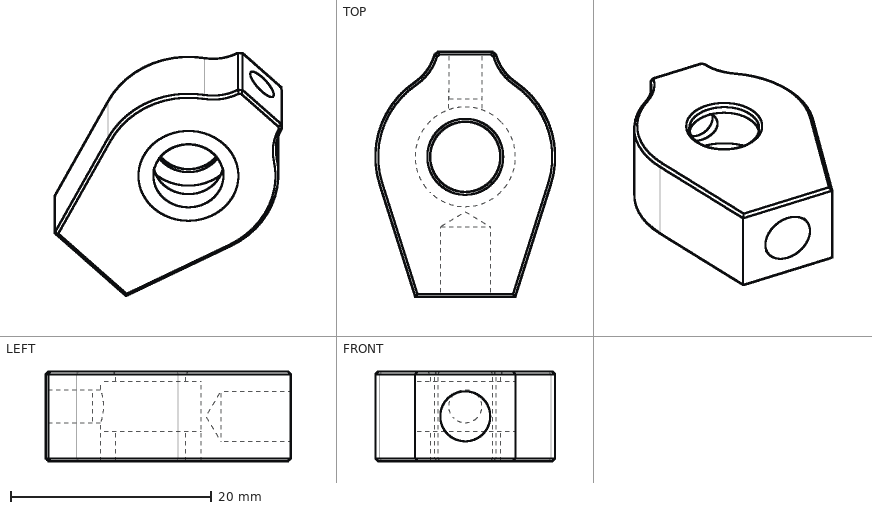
import cadquery as cq
import math

thickness = 9.0
head_radius = 9.0
neck_radius = 5.0
nose_half_width = 3.0
nose_y = 10.5
tail_half_width = 5.0
tail_y = -14.0
edge_chamfer = 0.3

eye_radius = 3.5
cavity_radius = 5.0
lip_thickness = 1.0
cavity_top_z = thickness - lip_thickness

ring_height = 3.0

bore_radius = 2.5
bore_depth = 7.0
drill_point_angle = 118.0

screw_radius = 1.65
screw_z = (ring_height + cavity_top_z) / 2
screw_tip_y = 5.8


def mirrored(point):
    return (-point[0], point[1])


def polar(radius, angle):
    return (radius * math.cos(angle), radius * math.sin(angle))


def make_outline():
    """Round head with straight tangent flanks to the tail and concave neck arcs to the nose."""
    tail = (tail_half_width, tail_y)
    nose = (nose_half_width, nose_y)
    head_side = (head_radius, 0)

    tail_direction = math.atan2(tail_y, tail_half_width)
    flank_angle = tail_direction + math.acos(head_radius / math.hypot(*tail))
    flank_end = polar(head_radius, flank_angle)

    nose_distance = math.hypot(*nose)
    center_distance = head_radius + neck_radius
    cosine = (nose_distance**2 + center_distance**2 - neck_radius**2) / (2 * nose_distance * center_distance)
    neck_angle = math.atan2(nose_y, nose_half_width) - math.acos(cosine)
    neck_start = polar(head_radius, neck_angle)
    neck_center = polar(center_distance, neck_angle)

    start_direction = neck_angle + math.pi
    end_direction = math.atan2(nose_y - neck_center[1], nose_half_width - neck_center[0]) % (2 * math.pi)
    offset = polar(neck_radius, (start_direction + end_direction) / 2)
    neck_middle = (neck_center[0] + offset[0], neck_center[1] + offset[1])

    return (
        cq.Workplane("XY")
        .moveTo(*mirrored(tail))
        .lineTo(*tail)
        .lineTo(*flank_end)
        .threePointArc(head_side, neck_start)
        .threePointArc(neck_middle, nose)
        .lineTo(*mirrored(nose))
        .threePointArc(mirrored(neck_middle), mirrored(neck_start))
        .threePointArc(mirrored(head_side), mirrored(flank_end))
        .close()
    )


def make_tail_bore():
    """Cylinder with a conical drill point, entering from the tail face."""
    point_length = bore_radius / math.tan(math.radians(drill_point_angle / 2))
    shoulder_y = tail_y + bore_depth
    return (
        cq.Workplane("XY")
        .moveTo(0, tail_y)
        .lineTo(bore_radius, tail_y)
        .lineTo(bore_radius, shoulder_y)
        .lineTo(0, shoulder_y + point_length)
        .close()
        .revolve(360, (0, 0), (0, 1))
        .translate((0, 0, thickness / 2))
    )


def make_nose_cylinder(start_y):
    """Cylinder of the screw diameter along Y, from start_y to the nose face."""
    return (
        cq.Workplane("XZ", origin=(0, start_y, screw_z))
        .circle(screw_radius)
        .extrude(start_y - nose_y)
    )


def make_housing():
    body = make_outline().extrude(thickness)
    body = body.edges("|Z and >Y").chamfer(edge_chamfer)
    body = body.faces("<Z").edges().chamfer(edge_chamfer)
    body = body.cut(cq.Workplane("XY").circle(eye_radius).extrude(thickness))
    body = body.faces(">Z").edges().chamfer(edge_chamfer)
    body = body.cut(cq.Workplane("XY").circle(cavity_radius).extrude(cavity_top_z))
    body = body.cut(make_tail_bore())
    return body.cut(make_nose_cylinder(0)).solids()


def make_retaining_ring():
    return cq.Workplane("XY").circle(cavity_radius).circle(eye_radius).extrude(ring_height)


def make_set_screw():
    return make_nose_cylinder(screw_tip_y)


housing = make_housing()
retaining_ring = make_retaining_ring()
set_screw = make_set_screw()

result = cq.Compound.makeCompound([housing.val(), retaining_ring.val(), set_screw.val()])